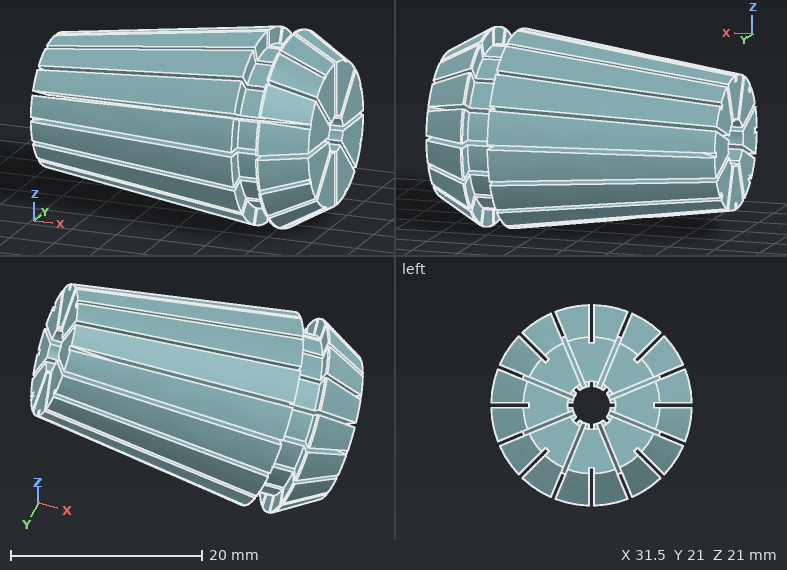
import cadquery as cq
import math


total_length = 31.5
max_radius = 21.0 / 2

body_length = 23.9
body_half_angle = math.radians(8)
small_end_radius = max_radius - body_length * math.tan(body_half_angle)

groove_width = 2.75
groove_radius = 17.4 / 2

head_half_angle = math.radians(30)
rim_width = 0.2
head_start = body_length + groove_width
cone_start = head_start + rim_width
head_face_radius = max_radius - (total_length - cone_start) * math.tan(head_half_angle)

clamp_bore_radius = 4.0 / 2
relief_bore_radius = 5.0 / 2
clamp_bore_length = 20.0

slots_per_end = 8
slot_pitch = 360.0 / slots_per_end
slot_width = 0.5
saw_radius = 40.0
head_slot_floor_end = 6.15
head_slot_exit_radius = 6.55
rear_slot_floor_start = 20.5
rear_slot_exit_radius = 7.72
cut_clearance = 1.0


def make_body():
    """Revolve the outer profile about the X axis."""
    profile = (
        cq.Workplane("XY")
        .lineTo(0, small_end_radius)
        .lineTo(body_length, max_radius)
        .lineTo(body_length, groove_radius)
        .lineTo(head_start, groove_radius)
        .lineTo(head_start, max_radius)
        .lineTo(cone_start, max_radius)
        .lineTo(total_length, head_face_radius)
        .lineTo(total_length, 0)
        .close()
    )
    return profile.revolve(360, (0, 0, 0), (1, 0, 0))


def cut_bore(body):
    """Clamping bore right through, widened up to the clamping length."""
    clamp_bore = cq.Workplane("YZ").circle(clamp_bore_radius).extrude(total_length)
    relief_length = total_length - clamp_bore_length
    relief_bore = cq.Workplane("YZ").circle(relief_bore_radius).extrude(relief_length)
    return body.cut(clamp_bore).cut(relief_bore)


def slot_cutter(inner_point, outer_point, open_end):
    """Thin plate at +Y whose saw-curved edge leaves a web at the end opposite open_end.

    The curved slot floor runs from inner_point at the bore to outer_point at the
    end face; each point is (x, radius).
    """
    plate_top = max_radius + cut_clearance
    floor_curve_radius = -saw_radius if open_end < inner_point[0] else saw_radius
    profile = (
        cq.Workplane("XY")
        .moveTo(inner_point[0], 0)
        .lineTo(*inner_point)
        .radiusArc(outer_point, floor_curve_radius)
        .lineTo(outer_point[0], plate_top)
        .lineTo(open_end, plate_top)
        .lineTo(open_end, 0)
        .close()
    )
    return profile.extrude(slot_width / 2, both=True)


def cut_slots(body, cutter, first_angle):
    """Cut one ring of equally spaced slots."""
    for index in range(slots_per_end):
        angle = first_angle + index * slot_pitch
        body = body.cut(cutter.rotate((0, 0, 0), (1, 0, 0), angle))
    return body


head_slot = slot_cutter(
    (head_slot_floor_end, relief_bore_radius),
    (0, head_slot_exit_radius),
    total_length + cut_clearance,
)
rear_slot = slot_cutter(
    (rear_slot_floor_start, clamp_bore_radius),
    (total_length, rear_slot_exit_radius),
    -cut_clearance,
)

result = cut_bore(make_body())
result = cut_slots(result, head_slot, 0)
result = cut_slots(result, rear_slot, slot_pitch / 2)